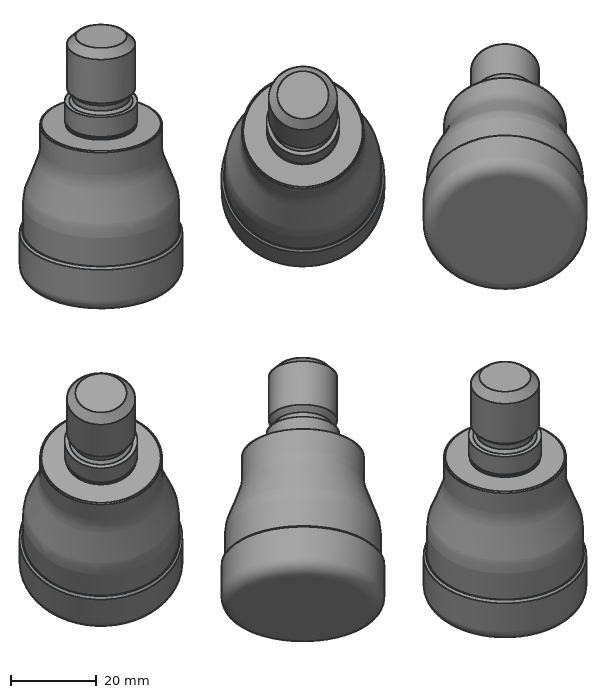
import cadquery as cq
import math

total_height = 63.0
housing_height = 40.0

base_radius = 19.06
belly_radius = 18.3
shoulder_radius = 14.3
base_height = 12.0
belly_corner_height = 21.1
shoulder_corner_height = 32.05
blend_radius = 10.0
bottom_fillet = 3.15
base_chamfer = 0.55
top_chamfer_width = 0.4
top_chamfer_height = 0.25

thread_radius = 8.0
tip_chamfer = 2.0
neck_radius = 6.7
neck_top = 48.2
neck_bottom = 46.8
neck_flare = 0.75
collar_radius = 8.5
collar_bottom = 40.95
relief_radius = 8.05
relief_flare = 0.25


def make_housing():
    """Solid bell: wide rounded base, straight belly, tapered waist and cylindrical shoulder."""
    taper_angle = math.atan2(belly_radius - shoulder_radius, shoulder_corner_height - belly_corner_height)
    tangent_length = blend_radius * math.tan(taper_angle / 2)
    taper_dr = tangent_length * math.sin(taper_angle)
    taper_dz = tangent_length * math.cos(taper_angle)
    half_sag = blend_radius * (1 - math.cos(taper_angle / 2))
    half_rise = blend_radius * math.sin(taper_angle / 2)

    belly_top = belly_corner_height - tangent_length
    shoulder_bottom = shoulder_corner_height + tangent_length
    profile = (
        cq.Workplane("XZ")
        .lineTo(base_radius, 0)
        .lineTo(base_radius, base_height - base_chamfer)
        .lineTo(base_radius - base_chamfer, base_height)
        .lineTo(belly_radius, base_height)
        .lineTo(belly_radius, belly_top)
        .threePointArc(
            (belly_radius - half_sag, belly_top + half_rise),
            (belly_radius - taper_dr, belly_corner_height + taper_dz),
        )
        .lineTo(shoulder_radius + taper_dr, shoulder_corner_height - taper_dz)
        .threePointArc(
            (shoulder_radius + half_sag, shoulder_bottom - half_rise),
            (shoulder_radius, shoulder_bottom),
        )
        .lineTo(shoulder_radius, housing_height - top_chamfer_height)
        .lineTo(shoulder_radius - top_chamfer_width, housing_height)
        .lineTo(0, housing_height)
        .close()
    )
    bell = profile.revolve(360, (0, 0, 0), (0, 1, 0))
    return bell.faces("<Z").edges().fillet(bottom_fillet)


def make_stud():
    """Turned stud: chamfered thread cylinder, relief neck, collar and undercut foot."""
    thread_bottom = neck_top + thread_radius - neck_radius
    collar_top = neck_bottom - neck_flare
    relief_top = collar_bottom - (collar_radius - relief_radius)
    profile = (
        cq.Workplane("XZ")
        .moveTo(0, housing_height)
        .lineTo(relief_radius + relief_flare, housing_height)
        .lineTo(relief_radius, housing_height + relief_flare)
        .lineTo(relief_radius, relief_top)
        .lineTo(collar_radius, collar_bottom)
        .lineTo(collar_radius, collar_top)
        .lineTo(neck_radius + neck_flare, collar_top)
        .lineTo(neck_radius, neck_bottom)
        .lineTo(neck_radius, neck_top)
        .lineTo(thread_radius, thread_bottom)
        .lineTo(thread_radius, total_height - tip_chamfer)
        .lineTo(thread_radius - tip_chamfer, total_height)
        .lineTo(0, total_height)
        .close()
    )
    return profile.revolve(360, (0, 0, 0), (0, 1, 0))


housing = make_housing()
stud = make_stud()
result = cq.Compound.makeCompound([housing.val(), stud.val()])